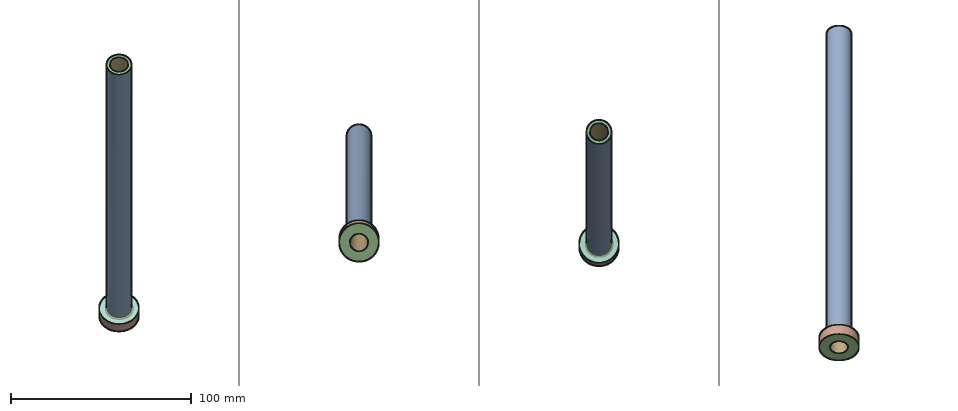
import cadquery as cq

total_length = 232.0
head_diameter = 22.0
head_height = 7.0
tube_diameter = 14.0
bore_diameter = 10.0
neck_fillet = 0.7

head_radius = head_diameter / 2
tube_radius = tube_diameter / 2
bore_radius = bore_diameter / 2

half_section = (
    cq.Workplane("XZ")
    .moveTo(bore_radius, 0)
    .lineTo(head_radius, 0)
    .lineTo(head_radius, head_height)
    .lineTo(tube_radius + neck_fillet, head_height)
    .radiusArc((tube_radius, head_height + neck_fillet), neck_fillet)
    .lineTo(tube_radius, total_length)
    .lineTo(bore_radius, total_length)
    .close()
)

result = half_section.revolve(360, (0, 0, 0), (0, 1, 0))